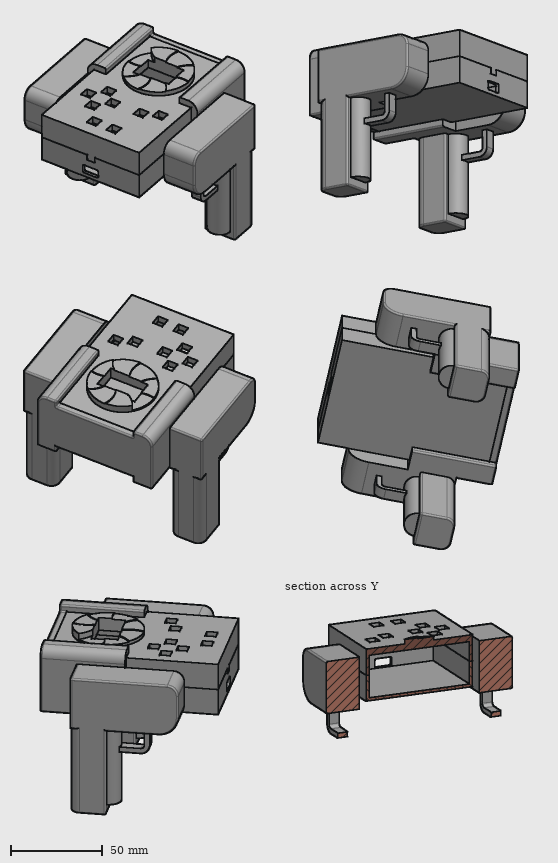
import cadquery as cq
import math


CASE_WIDTH = 64.0
CASE_LENGTH = 94.0
CASE_HALF_HEIGHT = 15.0
CASE_WALL = 2.0
TOP_PLATE = 4.0

CRADLE_WALL = 4.0
CRADLE_LENGTH = 47.0
CRADLE_SHOULDER_RADIUS = 6.0
LIP_WIDTH = 12.0
EDGE_RADIUS = 1.0
LEDGE_CORNER_RADIUS = 0.8

OVERALL_WIDTH = 112.0
CRADLE_BOTTOM = 50.0
GRIP_BACK_OFFSET = 20.0
ARM_LENGTH = 59.9
ARM_HEIGHT = 30.0
ARM_TOP_RADIUS = 6.0
ARM_BOTTOM_RADIUS = 11.0
HANDLE_DEPTH = 19.9
HANDLE_BACK_RADIUS = 5.3
PALM_DIAMETER = 14.0
PALM_BOTTOM = 5.0

GUARD_WIDTH = 6.0
GUARD_THICKNESS = 3.0
GUARD_DROP = 14.8
GUARD_FRONT = 63.0
GUARD_OUTER_RADIUS = 5.0

DIAL_DIAMETER = 39.3
DIAL_BACK_OFFSET = 31.5
DIAL_LOWEST = 1.0
DIAL_STEP = 0.49
DIAL_SECTORS = 8
DIAL_START_ANGLE = 135
BLADE_CURVE_RADIUS = 15.0
WINDOW_WIDTH = 23.3
WINDOW_LENGTH = 14.8
SHIFTED_BLADE = 4
BLADE_SHIFT = 2.0

BUTTON_SIZE = 6.0
PAD_X = -14.0
PAD_BACK_OFFSET = 67.2
PAD_SPACING = 8.0
ACTION_BUTTONS = [(12.1, -66.4), (22.0, -62.4)]
MENU_BUTTONS = [(-4.8, -87.1), (8.1, -87.1)]

TAB_LEFT = -2.1
TAB_RIGHT = 2.8
TAB_DROP = 3.4
TAB_CLEARANCE = 0.3
PORT_WIDTH = 10.2
PORT_HEIGHT = 5.2
PORT_SILL = 2.2
PORT_CORNER_RADIUS = 1.0

CASE_HEIGHT = 2 * CASE_HALF_HEIGHT
CASE_BOTTOM = CRADLE_BOTTOM + CRADLE_WALL
CASE_SPLIT = CASE_BOTTOM + CASE_HALF_HEIGHT
CASE_TOP = CASE_BOTTOM + CASE_HEIGHT
CASE_BACK = -CRADLE_WALL
CASE_FRONT = CASE_BACK - CASE_LENGTH
CRADLE_WIDTH = CASE_WIDTH + 2 * CRADLE_WALL
CRADLE_HEIGHT = CASE_HEIGHT + 2 * CRADLE_WALL
CRADLE_TOP = CRADLE_BOTTOM + CRADLE_HEIGHT
LIP_GAP = CRADLE_WIDTH - 2 * LIP_WIDTH
GRIP_INNER_X = -CRADLE_WIDTH / 2
GRIP_OUTER_X = -OVERALL_WIDTH / 2
GRIP_MIDDLE_X = (GRIP_INNER_X + GRIP_OUTER_X) / 2
HANDLE_FRONT = -(GRIP_BACK_OFFSET + HANDLE_DEPTH)


def block(x_range, y_range, z_range):
    """Box between the given (low, high) limits along each axis."""
    corner = (x_range[0], y_range[0], z_range[0])
    size = [high - low for low, high in (x_range, y_range, z_range)]
    return cq.Workplane("XY").box(*size, centered=False).translate(corner)


def centred(width):
    """Limits of a width centred on the mid-plane."""
    return (-width / 2, width / 2)



def make_cradle():
    cradle = block(centred(CRADLE_WIDTH), (-CRADLE_LENGTH, 0), (CRADLE_BOTTOM, CRADLE_TOP))
    cradle = cradle.edges("|Y and >Z").fillet(CRADLE_SHOULDER_RADIUS)
    cradle = cradle.edges("|Y and <Z").fillet(EDGE_RADIUS)

    gap = centred(LIP_GAP)
    full_length = (-CRADLE_LENGTH, 0)
    cradle = cradle.cut(block(gap, full_length, (CASE_TOP, CRADLE_TOP)))
    cradle = cradle.cut(block(gap, full_length, (CRADLE_BOTTOM, CASE_BOTTOM)))

    seat = block(centred(CASE_WIDTH), (-CRADLE_LENGTH, CASE_BACK), (CASE_BOTTOM, CASE_TOP))
    cradle = cradle.cut(seat)

    for side in (-1, 1):
        x = side * LIP_GAP / 2
        for z in (CRADLE_BOTTOM, CRADLE_TOP):
            lip_edge = cq.selectors.NearestToPointSelector((x, -CRADLE_LENGTH / 2, z))
            cradle = cradle.edges(lip_edge).fillet(EDGE_RADIUS)
        ledge_corner = cq.selectors.NearestToPointSelector((x, CASE_BACK / 2, CASE_TOP))
        cradle = cradle.edges(ledge_corner).fillet(LEDGE_CORNER_RADIUS)
    return cradle.faces(">Y").edges().fillet(EDGE_RADIUS)


def make_arm():
    """Upper part of the left grip, rounded at its front end and around its outer face."""
    arm = block(
        (GRIP_OUTER_X, GRIP_INNER_X),
        (-GRIP_BACK_OFFSET - ARM_LENGTH, -GRIP_BACK_OFFSET),
        (CRADLE_BOTTOM, CRADLE_BOTTOM + ARM_HEIGHT),
    )
    arm = arm.edges("|X and <Y and >Z").fillet(ARM_TOP_RADIUS)
    arm = arm.edges("|X and <Y and <Z").fillet(ARM_BOTTOM_RADIUS)
    arm = arm.edges("(<X) or (|X and >Y and >Z)").fillet(EDGE_RADIUS)

    root = block(
        (GRIP_INNER_X, GRIP_INNER_X + EDGE_RADIUS),
        (-CRADLE_LENGTH, -GRIP_BACK_OFFSET),
        (CRADLE_BOTTOM, CASE_BOTTOM),
    )
    return arm.union(root)


def make_handle():
    """Left handle with a half-round palm swell; both reach up into the arm to the case bottom level."""
    handle = block((GRIP_OUTER_X, GRIP_INNER_X), (HANDLE_FRONT, -GRIP_BACK_OFFSET), (0, CASE_BOTTOM))
    handle = handle.edges("|Z and >Y").fillet(HANDLE_BACK_RADIUS)
    handle = handle.edges("(|Z and <Y) or <Z").fillet(EDGE_RADIUS)
    palm = (
        cq.Workplane("XY")
        .workplane(offset=PALM_BOTTOM)
        .center(GRIP_MIDDLE_X, HANDLE_FRONT)
        .circle(PALM_DIAMETER / 2)
        .extrude(CASE_BOTTOM - PALM_BOTTOM)
    )
    return handle.union(palm)


def make_guard():
    """Bent strip from the front of the palm swell up to the underside of the arm."""
    x_range = (GRIP_MIDDLE_X - GUARD_WIDTH / 2, GRIP_MIDDLE_X + GUARD_WIDTH / 2)
    bottom = CRADLE_BOTTOM - GUARD_DROP
    outer = block(x_range, (-GUARD_FRONT, HANDLE_FRONT), (bottom, CASE_BOTTOM))
    outer = outer.edges("|X and <Y and <Z").fillet(GUARD_OUTER_RADIUS)
    inner = block(
        x_range,
        (-GUARD_FRONT + GUARD_THICKNESS, HANDLE_FRONT),
        (bottom + GUARD_THICKNESS, CRADLE_BOTTOM),
    )
    inner = inner.edges("|X and <Y and <Z").fillet(GUARD_OUTER_RADIUS - GUARD_THICKNESS)
    return outer.cut(inner)


def make_frame():
    left_grip = make_arm().union(make_handle()).union(make_guard())
    right_grip = left_grip.mirror("YZ")
    return make_cradle().union(left_grip).union(right_grip)



def make_cavity(bottom, top):
    """Hollow inside the case walls between two levels."""
    return block(
        centred(CASE_WIDTH - 2 * CASE_WALL),
        (CASE_FRONT + CASE_WALL, CASE_BACK - CASE_WALL),
        (bottom, top),
    )


def make_lower_case():
    case = block(centred(CASE_WIDTH), (CASE_FRONT, CASE_BACK), (CASE_BOTTOM, CASE_SPLIT))
    cavity = make_cavity(CASE_BOTTOM + CASE_WALL, CASE_SPLIT)
    notch = block(
        (TAB_LEFT - TAB_CLEARANCE, TAB_RIGHT),
        (CASE_FRONT, CASE_FRONT + CASE_WALL),
        (CASE_SPLIT - TAB_DROP, CASE_SPLIT),
    )

    port_bottom = CASE_BOTTOM + PORT_SILL
    port = block(
        centred(PORT_WIDTH),
        (CASE_FRONT, CASE_FRONT + CASE_WALL),
        (port_bottom, port_bottom + PORT_HEIGHT),
    )
    port = port.edges("|Y").fillet(PORT_CORNER_RADIUS)
    return case.cut(cavity).cut(notch).cut(port)



def polar(radius, angle):
    """Point at a radius and an angle in degrees about the dial centre."""
    return (radius * math.cos(math.radians(angle)), radius * math.sin(math.radians(angle)))


def blade_line(index):
    """Window end, middle and rim end of the curved edge that starts the given dial sector."""
    angle = DIAL_START_ANGLE + index * 360 / DIAL_SECTORS
    across, along = polar(1, angle)
    reach = 1 / max(abs(across) / (WINDOW_WIDTH / 2), abs(along) / (WINDOW_LENGTH / 2))
    inner_x, inner_y = polar(reach, angle)
    if index == SHIFTED_BLADE:
        inner_x += BLADE_SHIFT
    rim_x, rim_y = polar(DIAL_DIAMETER / 2, angle)
    chord_x, chord_y = rim_x - inner_x, rim_y - inner_y
    chord = math.hypot(chord_x, chord_y)
    bulge = BLADE_CURVE_RADIUS - math.sqrt(BLADE_CURVE_RADIUS**2 - (chord / 2) ** 2)
    middle = (
        (inner_x + rim_x) / 2 - chord_y / chord * bulge,
        (inner_y + rim_y) / 2 + chord_x / chord * bulge,
    )
    return (inner_x, inner_y), middle, (rim_x, rim_y)


def make_dial_sector(index):
    """One step of the dial; each sector stands higher than the one before it."""
    start_inner, start_middle, start_rim = blade_line(index)
    end_inner, end_middle, end_rim = blade_line(index + 1)
    rim_middle = polar(DIAL_DIAMETER / 2, DIAL_START_ANGLE + (index + 0.5) * 360 / DIAL_SECTORS)
    return (
        cq.Workplane("XY", origin=(0, -DIAL_BACK_OFFSET, CASE_TOP))
        .lineTo(*start_inner)
        .threePointArc(start_middle, start_rim)
        .threePointArc(rim_middle, end_rim)
        .threePointArc(end_middle, end_inner)
        .close()
        .extrude(DIAL_LOWEST + index * DIAL_STEP)
    )


def button_places():
    """Centres of the direction pad, action and menu buttons."""
    pad = [(PAD_X + step * PAD_SPACING, -PAD_BACK_OFFSET) for step in (-1, 1)]
    pad += [(PAD_X, -PAD_BACK_OFFSET + step * PAD_SPACING) for step in (-1, 1)]
    return pad + ACTION_BUTTONS + MENU_BUTTONS


def make_upper_case():
    case = block(centred(CASE_WIDTH), (CASE_FRONT, CASE_BACK), (CASE_SPLIT, CASE_TOP))
    tab = block(
        (TAB_LEFT, TAB_RIGHT),
        (CASE_FRONT, CASE_FRONT + CASE_WALL),
        (CASE_SPLIT - TAB_DROP, CASE_SPLIT),
    )
    cavity = make_cavity(CASE_SPLIT, CASE_TOP - TOP_PLATE)
    case = case.union(tab).cut(cavity)
    for index in range(DIAL_SECTORS):
        case = case.union(make_dial_sector(index))

    dial_top = DIAL_LOWEST + (DIAL_SECTORS - 1) * DIAL_STEP
    window = (
        cq.Workplane("XY", origin=(0, -DIAL_BACK_OFFSET, CASE_TOP - TOP_PLATE))
        .rect(WINDOW_WIDTH, WINDOW_LENGTH)
        .extrude(TOP_PLATE + dial_top)
    )
    buttons = (
        cq.Workplane("XY", origin=(0, 0, CASE_TOP - TOP_PLATE))
        .pushPoints(button_places())
        .rect(BUTTON_SIZE, BUTTON_SIZE)
        .extrude(TOP_PLATE)
    )
    return case.cut(window).cut(buttons)


frame = make_frame()
lower_case = make_lower_case()
upper_case = make_upper_case()

bodies = [body.solids().val() for body in (frame, lower_case, upper_case)]
result = cq.Compound.makeCompound(bodies)